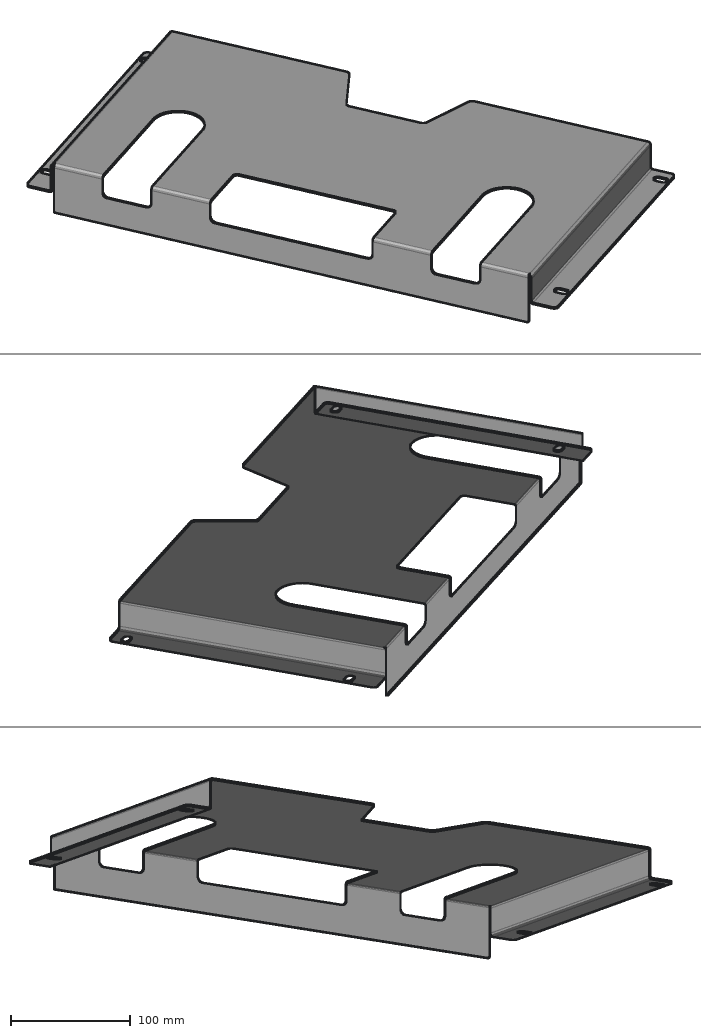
import cadquery as cq

width = 486.0
depth = 240.0
height = 46.0

sheet = 1.5
inner_bend = 1.5
outer_bend = inner_bend + sheet

wall_span = 441.0
wall_height = 27.0
flange_corner = 4.0
lip_corner = 1.5

mount_slot_length = 12.5
mount_slot_width = 7.5
mount_slot_x = 235.0
mount_slot_ys = (107.5, -93.0)

lip_opening_depth = 20.5
lip_opening_corner = 5.0
slot_width = 44.5
slot_x = 150.5
slot_end_y = 5.5
window_width = 148.5
window_end_y = -70.0
window_corner = 4.0

notch_mouth = 111.5
notch_floor = 71.5
notch_depth = 50.5
notch_corner = 5.0

front_y = -depth / 2
back_y = depth / 2
flange_bottom = height - wall_height
wall_x = wall_span / 2
panel_x = wall_x - outer_bend
panel_bottom = height - sheet
panel_front = front_y + outer_bend


def box(x_range, y_range, z_range):
    """Block between the given limits along each axis."""
    (x0, x1), (y0, y1), (z0, z1) = x_range, y_range, z_range
    return cq.Workplane("XY").box(x1 - x0, y1 - y0, z1 - z0, centered=False).translate((x0, y0, z0))


def make_panel():
    """Flat top between the side bends and the front bend."""
    return box((-panel_x, panel_x), (panel_front, back_y), (panel_bottom, height))


def make_side():
    """Right-hand wall, bent down from the panel and out into the mounting flange."""
    flange_top = flange_bottom + sheet
    wall_inside = wall_x - sheet
    foot_x = wall_inside + outer_bend
    side = (
        cq.Workplane("XZ", origin=(0, back_y, 0))
        .moveTo(panel_x, height)
        .radiusArc((wall_x, height - outer_bend), outer_bend)
        .lineTo(wall_x, flange_top + inner_bend)
        .radiusArc((foot_x, flange_top), -inner_bend)
        .lineTo(width / 2, flange_top)
        .lineTo(width / 2, flange_bottom)
        .lineTo(foot_x, flange_bottom)
        .radiusArc((wall_inside, flange_bottom + outer_bend), outer_bend)
        .lineTo(wall_inside, height - outer_bend)
        .radiusArc((panel_x, panel_bottom), -inner_bend)
        .close()
        .extrude(depth)
    )
    side = side.edges("|Z and >X").fillet(flange_corner)
    mount_slots = (
        cq.Workplane("XY", origin=(0, 0, flange_bottom))
        .pushPoints([(mount_slot_x, y) for y in mount_slot_ys])
        .slot2D(mount_slot_length, mount_slot_width)
        .extrude(sheet)
    )
    return side.cut(mount_slots)


def make_lip():
    """Front lip, bent straight down from the panel."""
    lip = (
        cq.Workplane("YZ", origin=(-panel_x, 0, 0))
        .moveTo(panel_front, height)
        .radiusArc((front_y, height - outer_bend), -outer_bend)
        .lineTo(front_y, 0)
        .lineTo(front_y + sheet, 0)
        .lineTo(front_y + sheet, height - outer_bend)
        .radiusArc((panel_front, panel_bottom), inner_bend)
        .close()
        .extrude(2 * panel_x)
    )
    bottom_corners = cq.selectors.BoxSelector(
        (-width, front_y - sheet, -sheet), (width, front_y + outer_bend, sheet)
    )
    return lip.edges("|Y").edges(bottom_corners).fillet(lip_corner)


def make_lip_opening(x, opening_width):
    """Cutter for the part of an opening that runs over the bend and down the lip."""
    cutter = box(
        (x - opening_width / 2, x + opening_width / 2),
        (front_y, panel_front),
        (height - lip_opening_depth, height),
    )
    return cutter.edges("|Y and <Z").fillet(lip_opening_corner)


def make_window():
    """Cutter for the central rectangular opening."""
    in_panel = box(
        (-window_width / 2, window_width / 2),
        (panel_front, window_end_y),
        (panel_bottom, height),
    )
    in_panel = in_panel.edges("|Z and >Y").fillet(window_corner)
    return in_panel.union(make_lip_opening(0, window_width))


def make_slot(x):
    """Cutter for a slot that ends in a half circle."""
    radius = slot_width / 2
    round_start_y = slot_end_y - radius
    in_panel = (
        cq.Workplane("XY", origin=(x, 0, panel_bottom))
        .moveTo(-radius, panel_front)
        .lineTo(-radius, round_start_y)
        .threePointArc((0, slot_end_y), (radius, round_start_y))
        .lineTo(radius, panel_front)
        .close()
        .extrude(sheet)
    )
    return in_panel.union(make_lip_opening(x, slot_width))


def cut_notch(body):
    """Tapered notch in the back edge with all four corners rounded."""
    floor_y = back_y - notch_depth
    notch = (
        cq.Workplane("XY", origin=(0, 0, panel_bottom))
        .polyline(
            [
                (-notch_mouth / 2, back_y),
                (-notch_floor / 2, floor_y),
                (notch_floor / 2, floor_y),
                (notch_mouth / 2, back_y),
            ]
        )
        .close()
        .extrude(sheet)
    )
    notch_edges = cq.selectors.BoxSelector(
        (-notch_mouth, floor_y - sheet, 0), (notch_mouth, back_y + sheet, height)
    )
    return body.cut(notch).edges("|Z").edges(notch_edges).fillet(notch_corner)


right_side = make_side()
left_side = right_side.mirror("YZ")
result = make_panel().union(right_side).union(left_side).union(make_lip())
result = cut_notch(result)
result = result.cut(make_window())
for side in (-1, 1):
    result = result.cut(make_slot(side * slot_x))